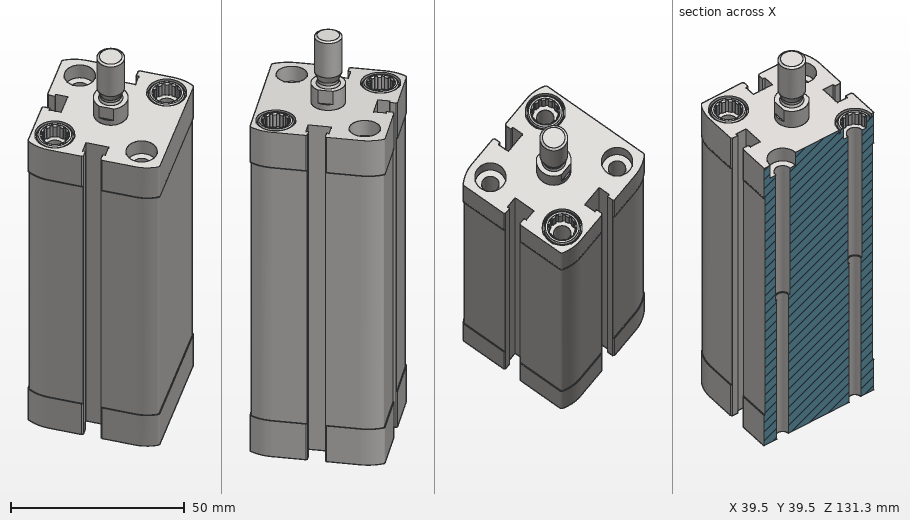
import cadquery as cq
import math

housing_width = 39.5
housing_height = 109.0
cap_height = 12.0
tube_inset = 0.3
tube_height = housing_height - 2 * cap_height

hole_pitch = 26.0
corner_radius = 12.5
corner_center_x = hole_pitch / 2
cap_corner_rounding = 1.0
tube_corner_rounding = 0.6

slot_angles = (0, 90, 180)
slot_mouth_width = 5.2
slot_inner_width = 6.8
slot_depth = 5.9
slot_lip_depth = 2.3
slot_mouth_chamfer = 0.4

core_hole_diameter = 4.13
wide_hole_diameter = 5.0
wide_hole_depth = housing_height / 2
counterbore_diameter = 9.0
counterbore_depth = 5.0

groove_outer_diameter = 11.5
groove_depth = 1.5
head_diameter = 10.5
head_chamfer = 0.4
socket_diameter = 7.5
socket_depth = 4.5
socket_chamfer = 0.5
notch_count = 12
notch_outer_diameter = 8.0
notch_width = 0.9

rod_length = 22.3
collar_diameter = 10.0
collar_height = 6.3
flats_width = 9.0
flats_height = 4.4
flare_diameter = 7.0
flare_height = 0.8
undercut_diameter = 6.2
undercut_height = 0.9
taper_height = 2.3
thread_diameter = 8.0
thread_tip_diameter = 6.5
tip_chamfer_height = (thread_diameter - thread_tip_diameter) / 2 * math.tan(math.radians(30))


def corner_section(inset, rounding, bottom, height):
    """Solid bar with the housing outline, its faces set inwards by `inset`, its side edges rounded."""
    half = housing_width / 2 - inset
    arc_center_y = half - corner_radius

    def arc_y(x):
        return arc_center_y + math.sqrt(corner_radius**2 - (x - corner_center_x) ** 2)

    arc_middle = ((corner_center_x + half) / 2, arc_y((corner_center_x + half) / 2))
    arc_end = (half, arc_y(half))

    def mirror_x(point):
        return (-point[0], point[1])

    def mirror_y(point):
        return (point[0], -point[1])

    def turn(point):
        return (-point[0], -point[1])

    arc_start = (corner_center_x, half)
    bar = (
        cq.Workplane("XY")
        .workplane(offset=bottom)
        .moveTo(*mirror_x(arc_start))
        .lineTo(*arc_start)
        .threePointArc(arc_middle, arc_end)
        .lineTo(*mirror_y(arc_end))
        .threePointArc(mirror_y(arc_middle), mirror_y(arc_start))
        .lineTo(*turn(arc_start))
        .threePointArc(turn(arc_middle), turn(arc_end))
        .lineTo(*mirror_x(arc_end))
        .threePointArc(mirror_x(arc_middle), mirror_x(arc_start))
        .close()
        .extrude(height)
    )
    side_edges = bar.edges("|Z and >X").add(bar.edges("|Z and <X"))
    return bar.newObject(side_edges.vals()).fillet(rounding)


def t_slot(angle):
    """Full-height T-slot cutter for the back face, turned about Z by `angle`."""
    face = housing_width / 2
    mouth = slot_mouth_width / 2
    inner = slot_inner_width / 2
    right_side = [
        (mouth + slot_mouth_chamfer, face),
        (mouth, face - slot_mouth_chamfer),
        (mouth, face - slot_lip_depth),
        (inner, face - slot_lip_depth),
        (inner, face - slot_depth),
    ]
    left_side = [(-x, y) for x, y in reversed(right_side)]
    slot = cq.Workplane("XY").polyline(right_side + left_side).close().extrude(housing_height)
    return slot.rotate((0, 0, 0), (0, 0, 1), angle)


def top_cylinder(diameter, depth):
    """Cylinder on the Z axis, reaching down from the top face."""
    return cq.Workplane("XY").workplane(offset=housing_height).circle(diameter / 2).extrude(-depth)


def corner_hole():
    """Cutter for the stepped hole through the whole housing."""
    return top_cylinder(core_hole_diameter, housing_height).union(
        top_cylinder(wide_hole_diameter, wide_hole_depth)
    )


def counterbored_hole():
    return corner_hole().union(top_cylinder(counterbore_diameter, counterbore_depth))


def screw_head_hole():
    """Cutter that leaves a chamfered ring head with a notched socket inside it."""
    head = top_cylinder(head_diameter, groove_depth).faces(">Z").chamfer(head_chamfer)
    groove = top_cylinder(groove_outer_diameter, groove_depth).cut(head)
    socket = top_cylinder(socket_diameter, socket_depth)
    socket_mouth = cq.Workplane(
        cq.Solid.makeCone(
            socket_diameter / 2,
            socket_diameter / 2 + socket_chamfer,
            socket_chamfer,
            pnt=cq.Vector(0, 0, housing_height - socket_chamfer),
        )
    )
    notch = (
        cq.Workplane("XY")
        .workplane(offset=housing_height - socket_depth)
        .rect(notch_outer_diameter, notch_width)
        .extrude(socket_depth)
    )
    for index in range(notch_count // 2):
        socket = socket.union(notch.rotate((0, 0, 0), (0, 0, 1), index * 360 / notch_count))
    return corner_hole().union(socket).union(socket_mouth).union(groove)


def make_housing():
    housing = corner_section(tube_inset, tube_corner_rounding, cap_height, tube_height)
    for bottom in (0, housing_height - cap_height):
        housing = housing.union(corner_section(0, cap_corner_rounding, bottom, cap_height))
    for angle in slot_angles:
        housing = housing.cut(t_slot(angle))
    offset = hole_pitch / 2
    for side in (1, -1):
        housing = housing.cut(screw_head_hole().translate((side * offset, side * offset, 0)))
        housing = housing.cut(counterbored_hole().translate((side * offset, -side * offset, 0)))
    return housing


def make_rod():
    flare_top = collar_height + flare_height
    undercut_top = flare_top + undercut_height
    thread_bottom = undercut_top + taper_height
    half_section = [
        (0, 0),
        (collar_diameter / 2, 0),
        (collar_diameter / 2, collar_height),
        (flare_diameter / 2, collar_height),
        (undercut_diameter / 2, flare_top),
        (undercut_diameter / 2, undercut_top),
        (thread_diameter / 2, thread_bottom),
        (thread_diameter / 2, rod_length - tip_chamfer_height),
        (thread_tip_diameter / 2, rod_length),
        (0, rod_length),
    ]
    rod = cq.Workplane("XZ").polyline(half_section).close().revolve(360, (0, 0), (0, 1))

    flats_bottom = collar_height - flats_height
    between_flats = cq.Workplane("XY").rect(collar_diameter, flats_width).extrude(flats_height)
    outside_flats = cq.Workplane("XY").circle(collar_diameter).extrude(flats_height).cut(between_flats)
    outside_flats = outside_flats.translate((0, 0, flats_bottom))
    return rod.cut(outside_flats).translate((0, 0, housing_height))


housing = make_housing()
rod = make_rod()

result = cq.Compound.makeCompound([housing.val(), rod.val()])